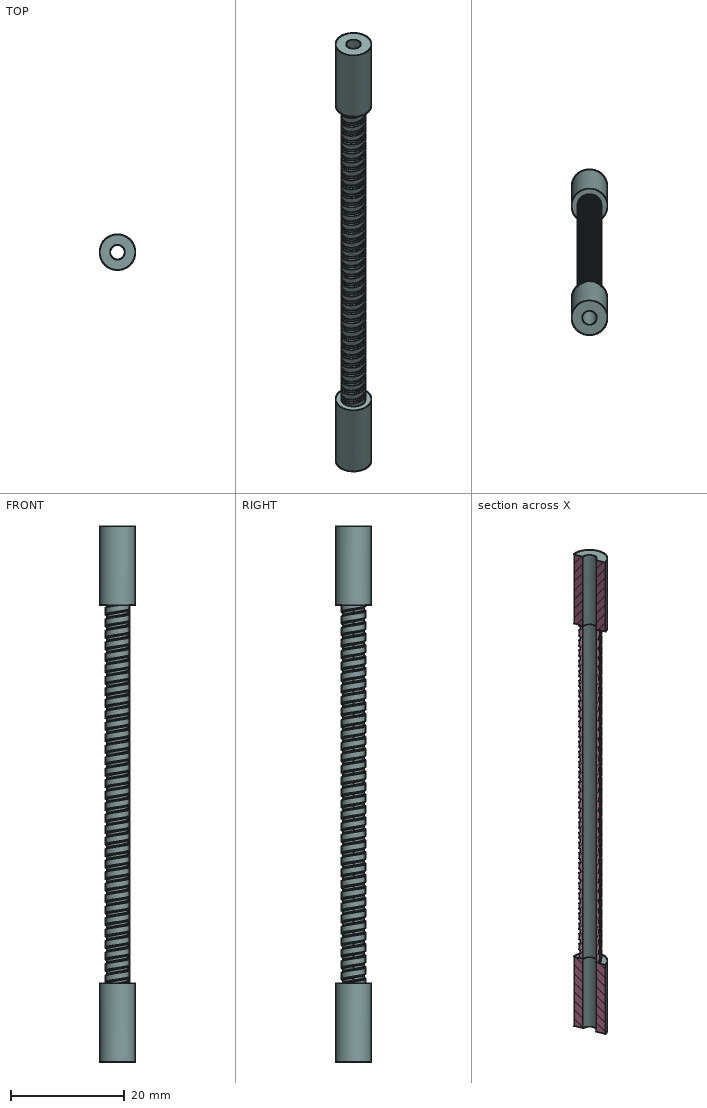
import cadquery as cq
import math

overall_length = 94.79
ferrule_diameter = 6.35
ferrule_length = 13.97
bore_diameter = 2.54
shaft_diameter = 4.318

groove_pitch = 2.032
groove_depth = 0.25
groove_top_width = 0.95
groove_bottom_width = groove_top_width / 2
groove_phase = 0.363
cutter_overhang = 0.2

pitches_per_stretch = 4
seam_angle = 137

shaft_radius = shaft_diameter / 2
shaft_length = overall_length - 2 * ferrule_length
stretch_length = pitches_per_stretch * groove_pitch
whole_stretches = math.floor(shaft_length / stretch_length)
top_stretch_length = shaft_length - whole_stretches * stretch_length


def groove_cutter():
    """One turn of the trapezoidal groove, centred on Z = 0 where it starts, on the +X side."""
    flank_slope = (groove_top_width - groove_bottom_width) / 2 / groove_depth
    root_radius = shaft_radius - groove_depth
    outer_radius = shaft_radius + cutter_overhang
    root_half_width = groove_bottom_width / 2
    outer_half_width = groove_top_width / 2 + flank_slope * cutter_overhang
    path = cq.Wire.makeHelix(groove_pitch, groove_pitch, shaft_radius)
    profile = cq.Workplane("XZ").polyline([
        (root_radius, -root_half_width),
        (outer_radius, -outer_half_width),
        (outer_radius, outer_half_width),
        (root_radius, root_half_width),
    ]).close()
    return profile.sweep(path, isFrenet=True).val()


def grooved_tube(length):
    """A stretch of shaft standing on Z = 0, with the groove running out through both ends."""
    tube = cq.Workplane("XY").circle(shaft_radius).circle(bore_diameter / 2).extrude(length)
    tube = tube.rotate((0, 0, 0), (0, 0, 1), seam_angle).val()
    turn = groove_cutter()
    turns = math.ceil(length / groove_pitch) + 2
    start_heights = [(groove_phase + i - 2) * groove_pitch for i in range(turns)]
    return tube.cut(*[turn.translate(cq.Vector(0, 0, z)) for z in start_heights])


def make_shaft():
    stretch = grooved_tube(stretch_length)
    heights = [ferrule_length + i * stretch_length for i in range(whole_stretches + 1)]
    pieces = [stretch.translate(cq.Vector(0, 0, z)) for z in heights[:-1]]
    pieces.append(grooved_tube(top_stretch_length).translate(cq.Vector(0, 0, heights[-1])))
    return pieces[0].fuse(*pieces[1:])


def make_ferrule(base_height):
    ring = cq.Workplane("XY").workplane(offset=base_height).circle(ferrule_diameter / 2)
    return ring.circle(bore_diameter / 2).extrude(ferrule_length)


shaft = make_shaft()
ferrules = [make_ferrule(z) for z in (0, overall_length - ferrule_length)]

result = cq.Compound.makeCompound([*shaft.Solids(), *[ferrule.val() for ferrule in ferrules]])